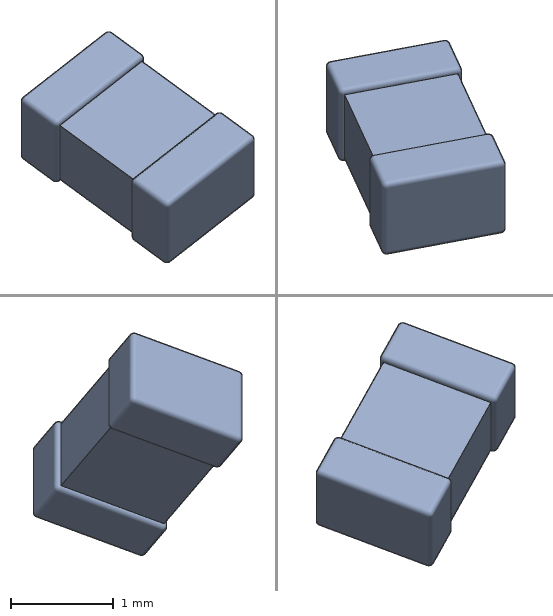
import cadquery as cq

length = 2.0
width = 1.25
height = 0.9

terminal_length = 0.5
edge_radius = 0.05

body_width = width - 2 * edge_radius
body_height = height - 2 * edge_radius
body_length = length - terminal_length


def terminal(side):
    """Rounded end block; side is -1 for the -X end and +1 for the +X end."""
    center_x = side * (length - terminal_length) / 2
    block = cq.Workplane("XY").box(terminal_length, width, height)
    return block.edges().fillet(edge_radius).translate((center_x, 0, 0))


result = cq.Workplane("XY").box(body_length, body_width, body_height)
for side in (-1, 1):
    result = result.union(terminal(side))